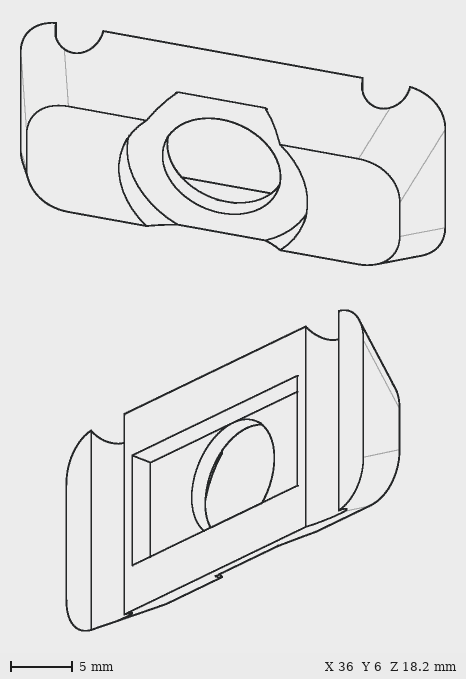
import cadquery as cq
import math

length = 36.0
height = 18.23
thickness = 6.0
end_draft = 20.0
side_draft = 30.0
corner_radius = 4.0

bore_diameter = 10.0
recess_diameter = 16.0
recess_depth = 2.5

groove_radius = 2.0
groove_offset = 13.0

pocket_length = 20.0
pocket_height = bore_diameter
pocket_depth = 2.0

front_y = -thickness / 2
back_y = thickness / 2


def trapezoid(plane, back_width, draft, depth):
    """Prism centred on the origin that narrows from the back face to the front face."""
    half_back = back_width / 2
    half_front = half_back - thickness * math.tan(math.radians(draft))
    corners = [
        (-half_back, back_y),
        (half_back, back_y),
        (half_front, front_y),
        (-half_front, front_y),
    ]
    return cq.Workplane(plane).polyline(corners).close().extrude(depth / 2, both=True)


def tapered_body():
    """Slab tapered on all four sides, with rounded sloping corners."""
    end_profile = trapezoid("XY", length, end_draft, height)
    side_plane = cq.Plane(origin=(0, 0, 0), xDir=(0, 0, 1), normal=(-1, 0, 0))
    side_profile = trapezoid(side_plane, height, side_draft, length)
    body = end_profile.intersect(side_profile)
    sloping_edges = body.edges("not(#Y)")
    return sloping_edges.fillet(corner_radius)


def front_cylinder(diameter, depth):
    """Cylinder along Y that reaches the given depth behind the front face."""
    return (
        cq.Workplane("XZ", origin=(0, front_y + depth, 0))
        .circle(diameter / 2)
        .extrude(depth)
    )


def groove(x):
    """Round bar along Z, centred on the back face at the given X."""
    return (
        cq.Workplane("XY", origin=(x, back_y, -height / 2))
        .circle(groove_radius)
        .extrude(height)
    )


def back_pocket():
    """Rectangular block that sinks into the back face around the bore."""
    return cq.Workplane("XY").box(pocket_length, pocket_depth, pocket_height).translate(
        (0, back_y - pocket_depth / 2, 0)
    )


result = tapered_body()
result = result.cut(front_cylinder(bore_diameter, thickness))
result = result.cut(front_cylinder(recess_diameter, recess_depth))
result = result.cut(back_pocket())
for side in (-1, 1):
    result = result.cut(groove(side * groove_offset))